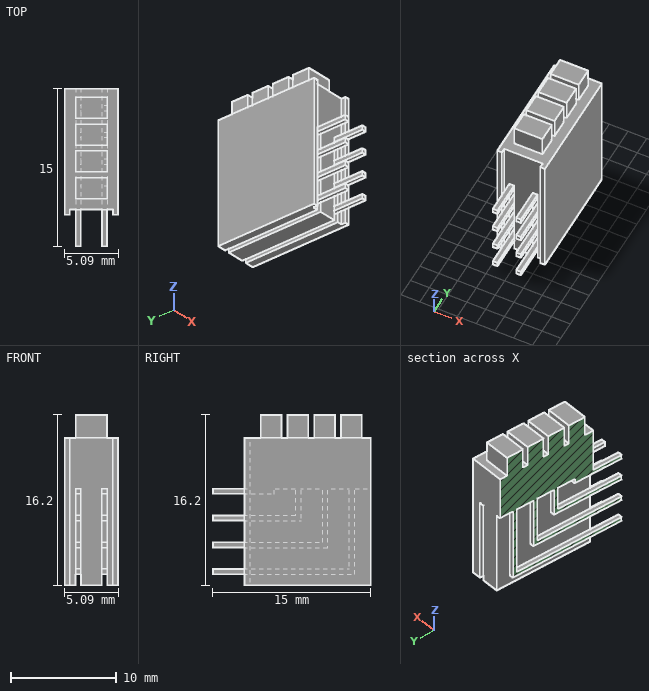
import cadquery as cq

OVERALL_HEIGHT = 16.2
BODY_WIDTH = 5.09
BODY_DEPTH = 12.0
BODY_HEIGHT = 14.0
CHANNEL_DEPTH = 0.5
SIDE_WALL = 0.5

LAMP_COUNT = 4
PITCH = 2.55
LAMP_WIDTH = 3.0
LAMP_DEPTH = 2.0
LAMP_HEIGHT = OVERALL_HEIGHT - BODY_HEIGHT
FRONT_LAMP_INSET = 1.54

LEAD_SIZE = 0.5
LEAD_SPACING = LAMP_WIDTH - LEAD_SIZE
LEAD_LENGTH = 3.0
LOWEST_LEAD_Z = 1.3

BODY_FRONT = -BODY_DEPTH / 2
LEAD_TIP = BODY_FRONT - LEAD_LENGTH
SLOT_HEIGHT = LOWEST_LEAD_Z + (LAMP_COUNT - 1) * PITCH + LEAD_SIZE / 2
LEAD_COLUMNS = (-LEAD_SPACING / 2, LEAD_SPACING / 2)


def block(width, depth, height, x, front, bottom):
    """Box centred on x, starting at the given front (-Y) face and bottom face."""
    solid = cq.Workplane("XY").box(width, depth, height, centered=(True, False, False))
    return solid.translate((x, front, bottom))


def lamp_center(index):
    """Y position of a lamp, counted from the front."""
    return BODY_FRONT + FRONT_LAMP_INSET + LAMP_DEPTH / 2 + index * PITCH


def make_body():
    body = block(BODY_WIDTH, BODY_DEPTH, BODY_HEIGHT, 0, BODY_FRONT, 0)
    channel_width = BODY_WIDTH - 2 * SIDE_WALL
    body = body.cut(block(channel_width, CHANNEL_DEPTH, BODY_HEIGHT, 0, BODY_FRONT, 0))
    for x in LEAD_COLUMNS:
        body = body.cut(block(LEAD_SIZE, BODY_DEPTH, SLOT_HEIGHT, x, BODY_FRONT, 0))
    return body


def make_lamp(index):
    front = lamp_center(index) - LAMP_DEPTH / 2
    return block(LAMP_WIDTH, LAMP_DEPTH, LAMP_HEIGHT, 0, front, BODY_HEIGHT)


def make_lead(index, x):
    """Bent lead: the front lamp has the highest lead, the rear lamp the lowest."""
    bottom = LOWEST_LEAD_Z + (LAMP_COUNT - 1 - index) * PITCH - LEAD_SIZE / 2
    back = lamp_center(index) + LEAD_SIZE / 2
    horizontal = block(LEAD_SIZE, back - LEAD_TIP, LEAD_SIZE, x, LEAD_TIP, bottom)
    vertical = block(LEAD_SIZE, LEAD_SIZE, SLOT_HEIGHT - bottom, x, back - LEAD_SIZE, bottom)
    return horizontal.union(vertical)


result = make_body()
for lamp_index in range(LAMP_COUNT):
    result = result.union(make_lamp(lamp_index))
    for column_x in LEAD_COLUMNS:
        result = result.union(make_lead(lamp_index, column_x))